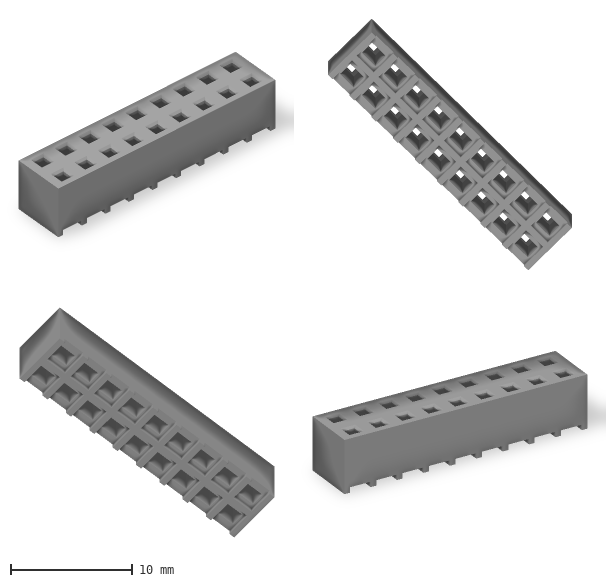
import cadquery as cq

pitch = 2.54
rows = 2
contacts_per_row = 9
body_width = rows * pitch
body_length = 23.36
body_height = 5.0

hole_size = 1.0
lead_in_size = 1.4
lead_in_depth = 0.2

throat_depth = 0.3
cavity_width = 1.2
cavity_length = 1.6
cavity_height = body_height - lead_in_depth - throat_depth

recess_length = 2.0
recess_height = 0.5
foot_thickness = pitch - recess_length
rib_thickness = foot_thickness
recess_depth = (body_width - rib_thickness) / 2

contact_positions = [
    ((row - (rows - 1) / 2) * pitch, (index - (contacts_per_row - 1) / 2) * pitch)
    for row in range(rows)
    for index in range(contacts_per_row)
]


def make_body():
    """Plain block standing on Z = 0 and centred in X and Y."""
    return cq.Workplane("XY").box(body_width, body_length, body_height, centered=(True, True, False))


def make_contact_hole(x, y):
    """Square through hole that widens toward the top face."""
    shaft = (
        cq.Workplane("XY")
        .center(x, y)
        .rect(hole_size, hole_size)
        .extrude(body_height)
    )
    lead_in = (
        cq.Workplane("XY", origin=(0, 0, body_height - lead_in_depth))
        .center(x, y)
        .rect(hole_size, hole_size)
        .workplane(offset=lead_in_depth)
        .rect(lead_in_size, lead_in_size)
        .loft(ruled=True)
    )
    return shaft.union(lead_in)


def make_cavity(x, y):
    """Rectangular contact chamber below the narrow throat of the hole."""
    return (
        cq.Workplane("XY")
        .center(x, y)
        .rect(cavity_width, cavity_length)
        .extrude(cavity_height)
    )


def make_recess(x, y):
    """Underside pocket running from the long side nearest the hole to the central rib."""
    side = 1 if x > 0 else -1
    center_x = side * (rib_thickness + recess_depth) / 2
    return (
        cq.Workplane("XY")
        .center(center_x, y)
        .rect(recess_depth, recess_length)
        .extrude(recess_height)
    )


result = make_body()
for hole_x, hole_y in contact_positions:
    result = result.cut(make_contact_hole(hole_x, hole_y))
    result = result.cut(make_cavity(hole_x, hole_y))
    result = result.cut(make_recess(hole_x, hole_y))